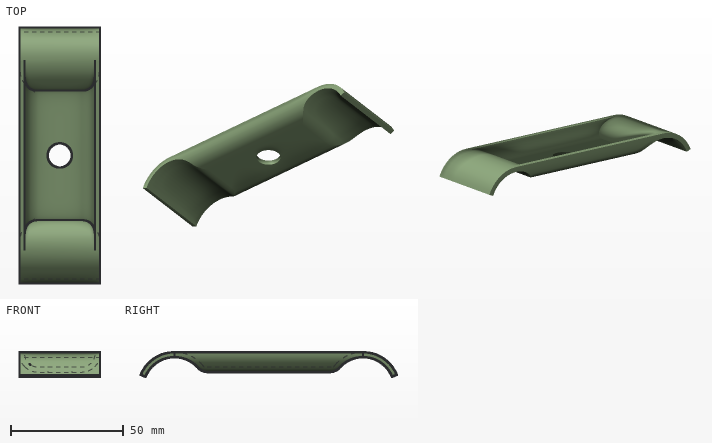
import cadquery as cq
import math

width = 36.0
length = 114.17
height = 11.0

sheet = 2.3
trough_depth = 9.0
corner_inner = 6.0
corner_outer = corner_inner + sheet
toe_radius = 6.3

hole_diameter = 10.7

bend_inner = 14.0
bend_outer = bend_inner + sheet
tip_angle = math.acos((bend_outer - height) / bend_inner)
bend_y = length / 2 - bend_outer * math.sin(tip_angle)

headroom = 1.0


def bend_point(side, radius, angle):
    """(y, z) on a bend; the angle runs from its top, positive toward the tip."""
    return (side * (bend_y + radius * math.sin(angle)), radius * math.cos(angle) - bend_outer)


def trough_section(half_width, depth, radius, top):
    """Long bar with upright sides and rounded lower corners."""
    shoulder_z = radius - depth
    floor_x = half_width - radius
    mid_x = floor_x + radius * math.sqrt(0.5)
    mid_z = shoulder_z - radius * math.sqrt(0.5)
    return (
        cq.Workplane("XZ")
        .moveTo(-half_width, top)
        .lineTo(-half_width, shoulder_z)
        .threePointArc((-mid_x, mid_z), (-floor_x, -depth))
        .lineTo(floor_x, -depth)
        .threePointArc((mid_x, mid_z), (half_width, shoulder_z))
        .lineTo(half_width, top)
        .close()
        .extrude(length / 2, both=True)
    )


def trough_body():
    """Solid trough whose underside rises along the bends, with rounded toes."""
    toe_z = toe_radius - trough_depth
    toe_angle = math.acos((toe_z + bend_outer) / (bend_inner + toe_radius))
    toe_y = bend_y - (bend_inner + toe_radius) * math.sin(toe_angle)
    toe_mid_y = toe_y + toe_radius * math.sin(toe_angle / 2)
    toe_mid_z = toe_z - toe_radius * math.cos(toe_angle / 2)
    side_profile = (
        cq.Workplane("YZ")
        .moveTo(-bend_y, 0)
        .lineTo(*bend_point(-1, bend_inner, 0))
        .threePointArc(bend_point(-1, bend_inner, -toe_angle / 2), bend_point(-1, bend_inner, -toe_angle))
        .threePointArc((-toe_mid_y, toe_mid_z), (-toe_y, -trough_depth))
        .lineTo(toe_y, -trough_depth)
        .threePointArc((toe_mid_y, toe_mid_z), bend_point(1, bend_inner, -toe_angle))
        .threePointArc(bend_point(1, bend_inner, -toe_angle / 2), bend_point(1, bend_inner, 0))
        .lineTo(bend_y, 0)
        .close()
        .extrude(width / 2, both=True)
    )
    return side_profile.intersect(trough_section(width / 2, trough_depth, corner_outer, 0))


def trough_cavity():
    """Space inside the trough, ending at the outer faces of the bends."""
    floor_depth = trough_depth - sheet
    floor_angle = math.acos((bend_outer - floor_depth) / bend_outer)
    side_profile = (
        cq.Workplane("YZ")
        .moveTo(-bend_y, headroom)
        .lineTo(-bend_y, 0)
        .threePointArc(bend_point(-1, bend_outer, -floor_angle / 2), bend_point(-1, bend_outer, -floor_angle))
        .lineTo(*bend_point(1, bend_outer, -floor_angle))
        .threePointArc(bend_point(1, bend_outer, -floor_angle / 2), (bend_y, 0))
        .lineTo(bend_y, headroom)
        .close()
        .extrude(width / 2, both=True)
    )
    section = trough_section(width / 2 - sheet, floor_depth, corner_inner, headroom)
    return side_profile.intersect(section)


def curved_end(side):
    """Full-width bent strap from the top of the bend out to its tip."""
    return (
        cq.Workplane("YZ")
        .moveTo(*bend_point(side, bend_outer, 0))
        .threePointArc(
            bend_point(side, bend_outer, tip_angle / 2),
            bend_point(side, bend_outer, tip_angle),
        )
        .lineTo(*bend_point(side, bend_inner, tip_angle))
        .threePointArc(
            bend_point(side, bend_inner, tip_angle / 2),
            bend_point(side, bend_inner, 0),
        )
        .close()
        .extrude(width / 2, both=True)
    )


def floor_hole():
    """Round cutter on the Z axis."""
    return cq.Workplane("XY").circle(hole_diameter / 2).extrude(-trough_depth)


trough = trough_body().cut(trough_cavity()).cut(floor_hole())
result = trough.union(curved_end(-1)).union(curved_end(1))